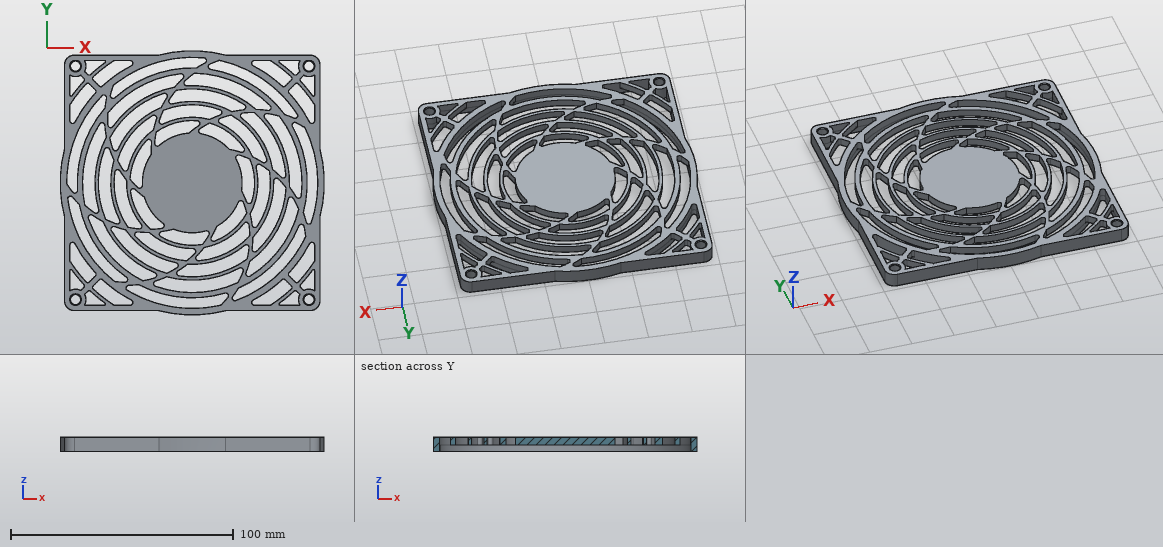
import cadquery as cq
import math

THICKNESS = 6.6
GRILLE_THICKNESS = 3.6
SQUARE_SIDE = 115.0
CORNER_RADIUS = 4.5
RING_RADIUS = 59.44
RING_WALL = 3.0
SIDE_WALL = 2.5

HOLE_SPACING = 105.0
HOLE_DIAMETER = 4.5
HOLE_CHAMFER = 0.4
HOLE_WALL = 2.5

HUB_RADIUS = 22.5
RIB_WIDTH = 1.6
SLOT_WIDTH = 5.5
EQUAL_RING_COUNT = 4
OUTER_SLOT_INNER_RADIUS = 51.75
SPOKE_COUNT = 7
SPOKE_WIDTH = 1.5
SPOKE_ARC_RADIUS = 43.7
SPOKE_ARC_CENTER_DISTANCE = 29.65
SPOKE_ARC_CENTER_ANGLE = -73.9
SLOT_TIP_RADIUS = 1.2

DIAGONAL_RIB_WIDTH = 2.5
CROSS_RIB_INNER_RADIUS = 65.25
WINDOW_RADIUS = 1.0
WINDOW_TIP_RADIUS = 0.5
POCKET_TIP_RADIUS = 1.2

PITCH_ANGLE = 360.0 / SPOKE_COUNT
HOLE_OFFSET = HOLE_SPACING / 2
WINDOW_EDGE = SQUARE_SIDE / 2 - SIDE_WALL
POCKET_DEPTH = THICKNESS - GRILLE_THICKNESS
GRILLE_RADIUS = RING_RADIUS - RING_WALL


def polar(radius, angle):
    """Point at a radius and an angle in degrees."""
    return (radius * math.cos(math.radians(angle)), radius * math.sin(math.radians(angle)))


def spoke_angle(radius, arc_radius):
    """Angle at which a spoke edge of the given arc radius crosses a circle about the hub."""
    distance = SPOKE_ARC_CENTER_DISTANCE
    cosine = (distance**2 + radius**2 - arc_radius**2) / (2 * distance * radius)
    return SPOKE_ARC_CENTER_ANGLE + math.degrees(math.acos(cosine))


def nearest_edge(point):
    """Selector for the upright edge standing on a point of the XY plane."""
    return cq.selectors.NearestToPointSelector((point[0], point[1], 0))


def round_upright_edges(cutter, points, radius):
    for point in points:
        cutter = cutter.edges("|Z").edges(nearest_edge(point)).fillet(radius)
    return cutter


def disc(radius, height=GRILLE_THICKNESS):
    return cq.Workplane("XY").circle(radius).extrude(height)


def square_block(side, height=GRILLE_THICKNESS):
    return cq.Workplane("XY").rect(side, side).extrude(height)


def group(solids):
    """Several separate solids as one tool for a single cut."""
    return cq.Workplane(cq.Compound.makeCompound(solids))


def frame_plate(height):
    square = square_block(SQUARE_SIDE, height).edges("|Z").fillet(CORNER_RADIUS)
    return square.union(disc(RING_RADIUS, height))


def slot_cutter(inner_radius, outer_radius):
    """One slot between two neighbouring spokes, its two sharp tips rounded."""
    start_arc = SPOKE_ARC_RADIUS + SPOKE_WIDTH / 2
    end_arc = SPOKE_ARC_RADIUS - SPOKE_WIDTH / 2
    middle_radius = (inner_radius + outer_radius) / 2

    def start(radius):
        return spoke_angle(radius, start_arc)

    def end(radius):
        return spoke_angle(radius, end_arc) + PITCH_ANGLE

    start_tip = polar(outer_radius, start(outer_radius))
    end_tip = polar(inner_radius, end(inner_radius))
    inner_middle = polar(inner_radius, (start(inner_radius) + end(inner_radius)) / 2)
    outer_middle = polar(outer_radius, (start(outer_radius) + end(outer_radius)) / 2)
    cutter = (
        cq.Workplane("XY")
        .moveTo(*polar(inner_radius, start(inner_radius)))
        .threePointArc(inner_middle, end_tip)
        .threePointArc(polar(middle_radius, end(middle_radius)), polar(outer_radius, end(outer_radius)))
        .threePointArc(outer_middle, start_tip)
        .threePointArc(polar(middle_radius, start(middle_radius)), polar(inner_radius, start(inner_radius)))
        .close()
        .extrude(GRILLE_THICKNESS)
    )
    return round_upright_edges(cutter, [start_tip, end_tip], SLOT_TIP_RADIUS)


def cut_grille(plate):
    rings = []
    for index in range(EQUAL_RING_COUNT):
        inner_radius = HUB_RADIUS + index * (SLOT_WIDTH + RIB_WIDTH)
        rings.append((inner_radius, inner_radius + SLOT_WIDTH))
    rings.append((OUTER_SLOT_INNER_RADIUS, GRILLE_RADIUS))
    slots = []
    for inner_radius, outer_radius in rings:
        slot = slot_cutter(inner_radius, outer_radius)
        for index in range(SPOKE_COUNT):
            slots.append(slot.rotate((0, 0, 0), (0, 0, 1), index * PITCH_ANGLE).val())
    return plate.cut(group(slots))


def diagonal_crossing(radius):
    """Point where the rib edge above the +X+Y diagonal crosses a circle about the hub."""
    return polar(radius, 45 + math.degrees(math.asin(DIAGONAL_RIB_WIDTH / 2 / radius)))


def edge_crossing(radius):
    """Point where the upper window edge crosses a circle about the hub."""
    return (math.sqrt(radius**2 - WINDOW_EDGE**2), WINDOW_EDGE)


def corner_areas(height):
    """The four areas between the ring, the side walls and the walls around the screw holes."""
    hole_walls = (
        cq.Workplane("XY")
        .rect(HOLE_SPACING, HOLE_SPACING, forConstruction=True)
        .vertices()
        .circle(HOLE_DIAMETER / 2 + HOLE_WALL)
        .extrude(height)
    )
    areas = square_block(2 * WINDOW_EDGE, height).cut(disc(RING_RADIUS, height)).cut(hole_walls)
    x, y = edge_crossing(RING_RADIUS)
    tips = []
    for side_x in (1, -1):
        for side_y in (1, -1):
            tips += [(side_x * x, side_y * y), (side_x * y, side_y * x)]
    return round_upright_edges(areas, tips, POCKET_TIP_RADIUS)


def upper_corner_area():
    """The part of the corner areas between the +X+Y diagonal rib and the Y axis."""
    rib_offset = DIAGONAL_RIB_WIDTH / math.sqrt(2)
    wedge = (
        cq.Workplane("XY")
        .moveTo(0, rib_offset)
        .lineTo(SQUARE_SIDE, SQUARE_SIDE + rib_offset)
        .lineTo(0, SQUARE_SIDE + rib_offset)
        .close()
        .extrude(GRILLE_THICKNESS)
    )
    left_of_hole = cq.Workplane("XY").rect(2 * HOLE_OFFSET, SQUARE_SIDE).extrude(GRILLE_THICKNESS)
    return corner_areas(GRILLE_THICKNESS).intersect(wedge).intersect(left_of_hole)


def large_window(area):
    window = area.intersect(disc(CROSS_RIB_INNER_RADIUS))
    rounded = [diagonal_crossing(RING_RADIUS), diagonal_crossing(CROSS_RIB_INNER_RADIUS)]
    return round_upright_edges(window, rounded, WINDOW_RADIUS)


def small_window(area):
    inner_radius = CROSS_RIB_INNER_RADIUS + RIB_WIDTH
    window = area.cut(disc(inner_radius))
    window = round_upright_edges(window, [diagonal_crossing(inner_radius)], WINDOW_RADIUS)
    return round_upright_edges(window, [edge_crossing(inner_radius)], WINDOW_TIP_RADIUS)


def cut_corner_windows(plate):
    area = upper_corner_area()
    windows = []
    for window in (large_window(area), small_window(area)):
        for handed in (window, window.mirror("YZ")):
            for quarter in range(4):
                windows.append(handed.rotate((0, 0, 0), (0, 0, 1), quarter * 90).val())
    return plate.cut(group(windows))


def frame_layer():
    """Lower layer: bare walls, open below the grille and below the corner ribs."""
    plate = frame_plate(POCKET_DEPTH)
    return plate.cut(disc(GRILLE_RADIUS, POCKET_DEPTH)).cut(corner_areas(POCKET_DEPTH))


def grille_layer():
    """Upper layer: hub, spokes and ribs, with the slots and corner windows between them."""
    return cut_grille(cut_corner_windows(frame_plate(GRILLE_THICKNESS)))


def cut_screw_holes(plate):
    """Through holes with a small chamfer at the top."""
    countersink_diameter = HOLE_DIAMETER + 2 * HOLE_CHAMFER
    return (
        plate.faces(">Z")
        .workplane(origin=(0, 0, THICKNESS))
        .rect(HOLE_SPACING, HOLE_SPACING, forConstruction=True)
        .vertices()
        .cskHole(HOLE_DIAMETER, countersink_diameter, 90)
    )


body = grille_layer().translate((0, 0, POCKET_DEPTH)).union(frame_layer())
result = cut_screw_holes(body)